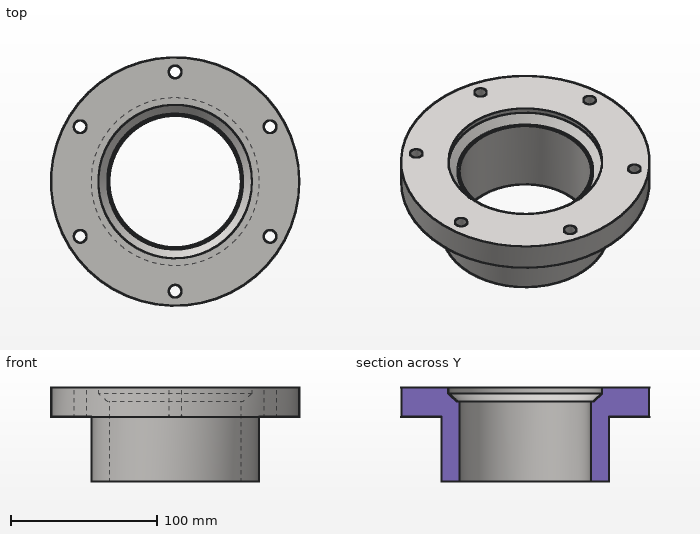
import cadquery as cq

flange_diameter = 170.0
flange_thickness = 20.0
total_height = 64.5
hub_diameter = 115.0

bore_diameter = 90.0
seat_top_diameter = 105.0
seat_bottom_diameter = 93.0
seat_depth = 9.5
seat_lip_depth = 4.0

bolt_count = 6
bolt_circle_diameter = 150.0
bolt_hole_diameter = 8.5
first_bolt_angle = 90.0


def revolved_body():
    """Flanged hub with its bore, lip and conical seat, bottom face at Z = 0."""
    flange_bottom = total_height - flange_thickness
    seat_bottom = total_height - seat_depth
    half_section = [
        (bore_diameter / 2, 0),
        (hub_diameter / 2, 0),
        (hub_diameter / 2, flange_bottom),
        (flange_diameter / 2, flange_bottom),
        (flange_diameter / 2, total_height),
        (seat_top_diameter / 2, total_height),
        (seat_top_diameter / 2, total_height - seat_lip_depth),
        (seat_bottom_diameter / 2, seat_bottom),
        (bore_diameter / 2, seat_bottom),
    ]
    profile = cq.Workplane("XZ").polyline(half_section).close()
    return profile.revolve(360, (0, 0, 0), (0, 1, 0))


def drill_bolt_holes(body):
    """Evenly spaced through holes in the flange."""
    return (
        body.faces(">Z")
        .workplane(origin=(0, 0, total_height))
        .polarArray(bolt_circle_diameter / 2, first_bolt_angle, 360, bolt_count)
        .hole(bolt_hole_diameter)
    )


result = drill_bolt_holes(revolved_body())